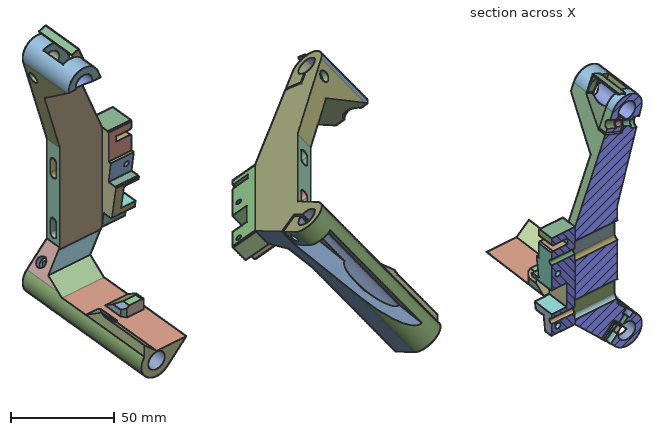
import cadquery as cq
import math

bore_radius = 10.4 / 2
clamp_radius = 9.5
arm_thickness = 10.0
arm_front = 15.2
arm_back = 41.7
straight_bottom = 29.0
straight_top = 89.0
lower_center = (clamp_radius, clamp_radius)
upper_center = (clamp_radius, 144.5)
arm_top = upper_center[1] + clamp_radius

beam_length = 90.0
beam_top = 15.2
upper_tube_length = 35.0
upper_gusset_bottom = 123.5
upper_gusset_top = 143.4
lower_gusset_start = (arm_thickness, 28.0)
lower_gusset_knee = (13.1, 18.8)
lower_gusset_end = (27.5, beam_top)

lower_slot_width = 1.2
upper_slot_width = 0.9
slot_far_along = 12.6
slot_front = -1.45
screw_x = arm_thickness / 2
screw_along = 7.0
screw_diameter = 3.2
screw_head_diameter = 6.0
screw_head_floor = 6.3
insert_diameter = 4.5
insert_depth = 6.0
upper_pocket_end = 25.0
upper_pocket_ramp_top = 0.8
lower_pocket_front = 0.0
lower_pocket_end = 79.0

mount_slot_width = 4.5
mount_slot_length = 11.8
mount_heights = (38.0, 74.0)

channel_start = 45.6
channel_slope = 0.68
hook_end = 60.0
fin_root = 9.6
fin_height = 6.9
fin_step = 1.1
fin_step_run = 2.6
hook_front = 14.0
hook_height = 6.7
hook_bevel = 3.2
hook_bevel_height = 2.6
hook_corner_length = 2.6
hook_corner_width = 1.8

block_back = 56.2
block_bevel = 0.6
block_upper_width = 14.9
block_catch_width = 16.6
block_catch_top = 71.0
block_wide_width = 20.5
block_wide_top = 58.8
block_wide_taper = 17.4
block_wide_bottom = 38.0
block_lower_width = 11.2
block_screw_diameter = 3.25
notch_bottom = 80.8
notch_top = 84.0
notch_front = 46.4
notch_bevel = 0.8
window_bottom = 42.4
window_top = 56.8
window_front = 47.0
cross_hole_diameter = 3.0
cross_hole_y = 52.2
cross_hole_heights = (33.4, 65.3)

support_sheet = 0.6
support_leg = 0.8
support_reach = 10.15
support_width = 4.6


def tangent_point(corner, center, side):
    """Where a line from the corner touches the clamp circle: side +1 turns from Y to Z, -1 the other way."""
    dy = corner[0] - center[0]
    dz = corner[1] - center[1]
    angle = math.atan2(dz, dy) + side * math.acos(clamp_radius / math.hypot(dy, dz))
    return (
        center[0] + clamp_radius * math.cos(angle),
        center[1] + clamp_radius * math.sin(angle),
    )


back_bottom = (arm_back, straight_bottom)
back_top = (arm_back, straight_top)
front_bottom = (arm_front, straight_bottom)
front_top = (arm_front, straight_top)
lower_back_touch = tangent_point(back_bottom, lower_center, -1)
lower_front_touch = tangent_point(front_bottom, lower_center, 1)
upper_back_touch = tangent_point(back_top, upper_center, 1)
upper_front_touch = tangent_point(front_top, upper_center, -1)


class Clamp:
    """Directions and solids set out from one rod bore, squared up with the back face of the arm."""

    def __init__(self, center, back_touch, corner, slot_width):
        self.center = cq.Vector(0, *center)
        self.along = (cq.Vector(0, *corner) - cq.Vector(0, *back_touch)).normalized()
        self.back = (cq.Vector(0, *back_touch) - self.center).normalized()
        self.slot_width = slot_width

    def point(self, x, along, back):
        return self.center + cq.Vector(x, 0, 0) + self.along * along + self.back * back

    def prism(self, outline, front, back):
        """Solid with an outline of (x, along) points, filling the space from front to back."""
        wire = cq.Wire.makePolygon([self.point(x, along, front) for x, along in outline], close=True)
        face = cq.Face.makeFromWires(wire)
        return cq.Workplane(cq.Solid.extrudeLinear(face, self.back * (back - front)))

    def box(self, x_range, along_range, front, back):
        (x_low, x_high), (along_low, along_high) = x_range, along_range
        outline = [(x_low, along_low), (x_high, along_low), (x_high, along_high), (x_low, along_high)]
        return self.prism(outline, front, back)

    def bore(self):
        return cq.Workplane(cq.Solid.makeCylinder(bore_radius, beam_length, self.center, cq.Vector(1, 0, 0)))

    def slot(self):
        """L-shaped saw cut from the bore towards the arm and out through its back face."""
        width_of_arm = (0, arm_thickness)
        leg = self.box(width_of_arm, (0, slot_far_along), slot_front, slot_front + self.slot_width)
        exit_along = (slot_far_along - self.slot_width, slot_far_along)
        return leg.union(self.box(width_of_arm, exit_along, slot_front, 2 * clamp_radius))

    def screw_hole(self):
        """Clamping screw through the slot: head sunk into the front face, wider thread insert in the jaw."""
        start = self.point(screw_x, screw_along, -2 * clamp_radius)
        shank = cq.Solid.makeCylinder(screw_diameter / 2, 4 * clamp_radius, start, self.back)
        head_depth = 2 * clamp_radius - screw_head_floor
        head = cq.Solid.makeCylinder(screw_head_diameter / 2, head_depth, start, self.back)
        insert_start = self.point(screw_x, screw_along, clamp_radius - insert_depth)
        insert = cq.Solid.makeCylinder(insert_diameter / 2, 2 * insert_depth, insert_start, self.back)
        return cq.Workplane(shank).union(cq.Workplane(head)).union(cq.Workplane(insert))


lower_clamp = Clamp(lower_center, lower_back_touch, back_bottom, lower_slot_width)
upper_clamp = Clamp(upper_center, upper_back_touch, back_top, upper_slot_width)


def upper_pocket():
    """Opening between the upper jaw and the end of the upper tube, with a ramped floor."""
    outline = [
        (arm_thickness, -2 * clamp_radius),
        (arm_thickness, slot_far_along),
        (upper_pocket_end, upper_pocket_ramp_top),
        (upper_pocket_end, -2 * clamp_radius),
    ]
    return upper_clamp.prism(outline, slot_front, 2 * clamp_radius)


def lower_pocket():
    """Relief behind the beam: as deep as the slot at the jaw, ramping out along the beam."""
    outline = [
        (arm_thickness, -clamp_radius),
        (arm_thickness, slot_far_along),
        (lower_pocket_end, -clamp_radius),
    ]
    return lower_clamp.prism(outline, lower_pocket_front, 2 * clamp_radius)


def arm_blank():
    """Side outline of the arm run along X and trimmed to its front outline."""
    side = (
        cq.Workplane("YZ")
        .moveTo(*back_bottom)
        .lineTo(*back_top)
        .lineTo(*upper_back_touch)
        .threePointArc((upper_center[0], upper_center[1] + clamp_radius), upper_front_touch)
        .lineTo(*front_top)
        .lineTo(*front_bottom)
        .lineTo(*lower_front_touch)
        .threePointArc((lower_center[0], lower_center[1] - clamp_radius), lower_back_touch)
        .close()
        .extrude(beam_length)
    )
    front = (
        cq.Workplane("XZ")
        .polyline([
            (0, 0),
            (beam_length, 0),
            (beam_length, beam_top),
            lower_gusset_end,
            lower_gusset_knee,
            lower_gusset_start,
            (arm_thickness, upper_gusset_bottom),
            (upper_tube_length, upper_gusset_top),
            (upper_tube_length, arm_top),
            (0, arm_top),
        ])
        .close()
        .extrude(-block_back)
    )
    return side.intersect(front)


beam_edge_y = lower_center[0] - math.sqrt(clamp_radius**2 - (beam_top - lower_center[1]) ** 2)
back_slope = lower_clamp.along.y / lower_clamp.along.z
beam_back_y = arm_back - (straight_bottom - beam_top) * back_slope


def channel_part(section_points, outline_points):
    """Solid above the beam with the given YZ section, trimmed to the given XZ outline."""
    section = (
        cq.Workplane("YZ", origin=(channel_start, 0, 0))
        .polyline(section_points)
        .close()
        .extrude(beam_length - channel_start)
    )
    outline = cq.Workplane("XZ").polyline(outline_points).close().extrude(-block_back)
    return section.intersect(outline)


def ramp_outline(height, end, end_height):
    """XZ outline that ramps up from the beam top to a height and runs on to its end."""
    peak = (channel_start + height / channel_slope, beam_top + height)
    return [(channel_start, beam_top), peak, (end, beam_top + end_height), (end, beam_top)]


def thin_fin():
    """Sharp-edged fin along the front of the beam."""
    section = [
        (beam_edge_y, beam_top),
        (fin_root, beam_top),
        (beam_edge_y, beam_top + fin_height),
    ]
    return channel_part(section, ramp_outline(fin_height, beam_length, fin_height))


def thick_fin():
    """Raised start of the fin, beside the hook, falling back to the thin fin."""
    peak = fin_height + fin_step
    section = [
        (beam_edge_y, beam_top),
        (fin_root, beam_top),
        (fin_root, beam_top + fin_step),
        (beam_edge_y, beam_top + peak),
    ]
    end = channel_start + peak / channel_slope + fin_step_run
    return channel_part(section, ramp_outline(peak, end, fin_height))


def hook():
    """Bevelled hook at the back of the beam, with its two upright end corners cut off."""
    bevel_bottom = beam_top + hook_height - hook_bevel_height
    section = [
        (hook_front, beam_top),
        (beam_back_y, beam_top),
        (beam_back_y, bevel_bottom),
        (beam_back_y - hook_bevel, beam_top + hook_height),
        (hook_front + hook_bevel, beam_top + hook_height),
        (hook_front, bevel_bottom),
    ]
    plan = (
        cq.Workplane("XY")
        .polyline([
            (channel_start, hook_front),
            (hook_end - hook_corner_length, hook_front),
            (hook_end, hook_front + hook_corner_width),
            (hook_end, beam_back_y - hook_corner_width),
            (hook_end - hook_corner_length, beam_back_y),
            (channel_start, beam_back_y),
        ])
        .close()
        .extrude(beam_top + 2 * hook_height)
    )
    return channel_part(section, ramp_outline(hook_height, hook_end, hook_height)).intersect(plan)


def mount_slots():
    return (
        cq.Workplane("XZ")
        .pushPoints([(screw_x, height) for height in mount_heights])
        .slot2D(mount_slot_length, mount_slot_width, 90)
        .extrude(-block_back)
    )


def make_arm():
    arm = arm_blank()
    arm = arm.cut(upper_pocket()).cut(lower_pocket())
    arm = arm.union(thin_fin()).union(thick_fin()).union(hook())
    for clamp in (lower_clamp, upper_clamp):
        arm = arm.cut(clamp.bore()).cut(clamp.slot()).cut(clamp.screw_hole())
    return arm.cut(mount_slots())


def make_block():
    block = (
        cq.Workplane("XZ", origin=(0, arm_back, 0))
        .polyline([
            (block_bevel, straight_bottom),
            (arm_thickness, straight_bottom),
            (block_lower_width, block_wide_bottom),
            (block_wide_taper - block_bevel, block_wide_bottom),
            (block_wide_taper, block_wide_bottom + block_bevel),
            (block_wide_width, block_wide_top - block_bevel),
            (block_wide_width - block_bevel, block_wide_top),
            (block_upper_width, block_wide_top),
            (block_catch_width, block_catch_top),
            (block_upper_width, block_catch_top),
            (block_upper_width, straight_top - block_bevel),
            (block_upper_width - block_bevel, straight_top),
            (block_bevel, straight_top),
            (0, straight_top - block_bevel),
            (0, straight_bottom + block_bevel),
        ])
        .close()
        .extrude(arm_back - block_back)
    )
    notch = (
        cq.Workplane("YZ")
        .polyline([
            (notch_front, notch_bottom),
            (block_back - notch_bevel, notch_bottom),
            (block_back, notch_bottom - notch_bevel),
            (block_back, notch_top + notch_bevel),
            (block_back - notch_bevel, notch_top),
            (notch_front, notch_top),
        ])
        .close()
        .extrude(beam_length)
    )
    window = cq.Workplane("XY").box(
        beam_length, block_back - window_front, window_top - window_bottom, centered=False
    ).translate((0, window_front, window_bottom))
    cross_holes = (
        cq.Workplane("YZ")
        .pushPoints([(cross_hole_y, height) for height in cross_hole_heights])
        .circle(cross_hole_diameter / 2)
        .extrude(beam_length)
    )
    screw_holes = (
        cq.Workplane("XZ")
        .pushPoints([(screw_x, height) for height in mount_heights])
        .circle(block_screw_diameter / 2)
        .extrude(-block_back)
    )
    return block.cut(notch).cut(window).cut(cross_holes).cut(screw_holes)


def make_support():
    inner = clamp_radius - support_width
    sheet = upper_clamp.box(
        (upper_pocket_end - support_sheet, upper_pocket_end),
        (-support_reach, 0),
        inner,
        clamp_radius,
    ).cut(upper_clamp.bore())
    leg = upper_clamp.box(
        (0, upper_pocket_end),
        (-support_reach, support_leg - support_reach),
        inner,
        clamp_radius,
    )
    return sheet.union(leg)


arm = make_arm()
block = make_block()
support = make_support()
result = cq.Compound.makeCompound([arm.val(), block.val(), support.val()])